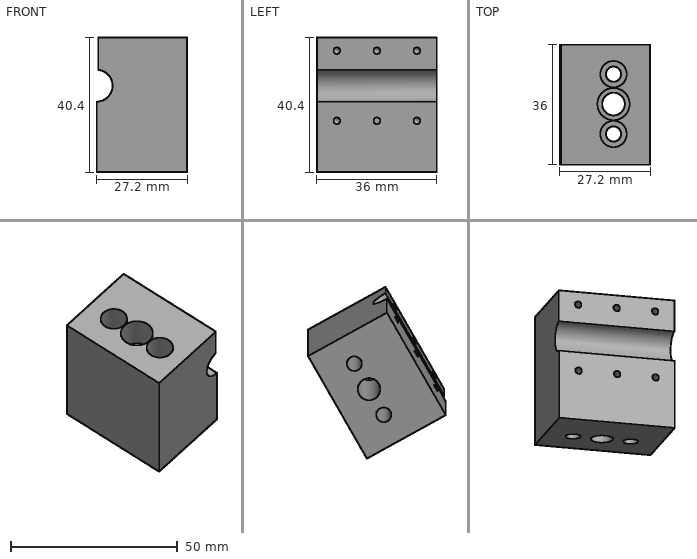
import cadquery as cq
import math

length_x = 27.15
width_y = 36.0
height_z = 40.4
upper_face_setback = 0.5

groove_diameter = 9.5
groove_z = 25.9

bore_x = 16.15
bore_spacing = 8.95
bore_row_y = 0.2
center_bore_diameter = 6.75
center_counterbore_diameter = 9.65
side_bore_diameter = 4.5
side_counterbore_diameter = 7.9
counterbore_depth = 10.1

drill_diameter = 2.0
drill_depth = 6.05
drill_tip_angle = 118.0
drill_spacing_y = 12.0
drill_row_offset = 10.5
bore_wall_thickness = 0.1


def make_block():
    """Block standing on Z = 0, centered on Y, with its upper low-X face set back."""
    block = cq.Workplane("XY").box(length_x, width_y, height_z, centered=(False, True, False))
    setback = (
        cq.Workplane("XY", origin=(0, 0, groove_z))
        .box(upper_face_setback, width_y, height_z - groove_z, centered=(False, True, False))
    )
    return block.cut(setback)


def make_groove():
    """Cylinder along Y, centered on the lower low-X face."""
    return (
        cq.Workplane("XZ", origin=(0, 0, groove_z))
        .circle(groove_diameter / 2)
        .extrude(width_y / 2, both=True)
    )


def make_counterbored_hole(y, bore_diameter, counterbore_diameter):
    """Through bore along Z, counterbored from the top face."""
    bore = (
        cq.Workplane("XY", origin=(bore_x, y, 0))
        .circle(bore_diameter / 2)
        .extrude(height_z)
    )
    counterbore = (
        cq.Workplane("XY", origin=(bore_x, y, height_z - counterbore_depth))
        .circle(counterbore_diameter / 2)
        .extrude(counterbore_depth)
    )
    return bore.union(counterbore)


def make_drilled_hole(face_x, y, z):
    """Blind hole along X with a conical drill tip."""
    radius = drill_diameter / 2
    tip_length = radius / math.tan(math.radians(drill_tip_angle / 2))
    return (
        cq.Workplane("XY", origin=(face_x, y, z))
        .lineTo(0, radius)
        .lineTo(drill_depth, radius)
        .lineTo(drill_depth + tip_length, 0)
        .close()
        .revolve(360, (0, 0, 0), (1, 0, 0))
    )


def make_bore_facing_hole(z):
    """Blind hole along X whose end wraps around the central bore, leaving a thin wall."""
    hole = (
        cq.Workplane("YZ", origin=(0, 0, z))
        .circle(drill_diameter / 2)
        .extrude(bore_x)
    )
    bore_wall = (
        cq.Workplane("XY", origin=(bore_x, bore_row_y, 0))
        .circle(center_bore_diameter / 2 + bore_wall_thickness)
        .extrude(height_z)
    )
    return hole.cut(bore_wall)


upper_row_z = groove_z + drill_row_offset
lower_row_z = groove_z - drill_row_offset

result = make_block().cut(make_groove())

result = result.cut(make_counterbored_hole(bore_row_y, center_bore_diameter, center_counterbore_diameter))
for side in (-1, 1):
    side_y = bore_row_y + side * bore_spacing
    result = result.cut(make_counterbored_hole(side_y, side_bore_diameter, side_counterbore_diameter))

for column in (-1, 0, 1):
    result = result.cut(make_drilled_hole(upper_face_setback, column * drill_spacing_y, upper_row_z))
for column in (-1, 1):
    result = result.cut(make_drilled_hole(0, column * drill_spacing_y, lower_row_z))
result = result.cut(make_bore_facing_hole(lower_row_z))